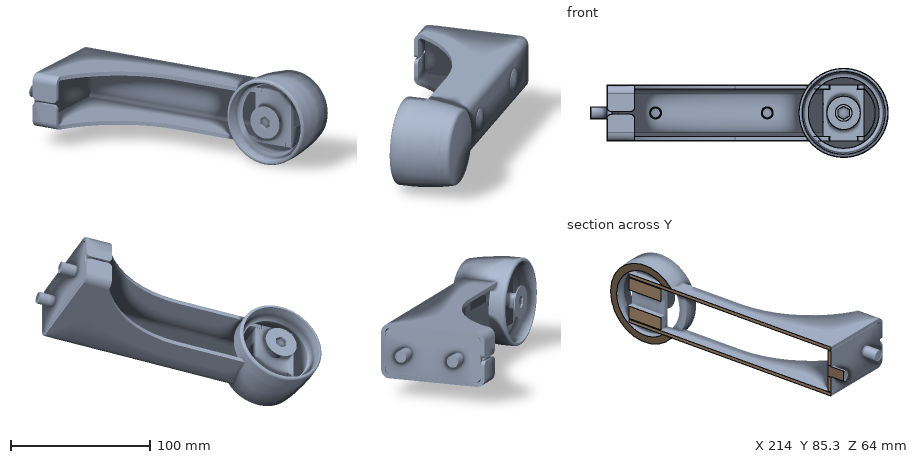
import cadquery as cq
import math


OVERALL_LENGTH = 214.0

ARM_HEIGHT = 40.0
FOOT_DEPTH = 80.0
WALL = 3.0
OUTER_RADIUS = 6.0
INNER_RADIUS = OUTER_RADIUS - WALL
INNER_HALF_HEIGHT = ARM_HEIGHT / 2 - WALL
FOOT_LENGTH = 20.0
ARM_DEPTH = 31.9
ARC_END_X = 92.0
FRONT_SLOT_WIDTH = 2.0
FRONT_SLOT_ROUNDING = 3.2

END_PLATE_THICKNESS = 3.5
END_PLATE_GAP = 0.2
END_PLATE_CORNER_RADIUS = 4.3
END_PLATE_JOINT_HEIGHT = 22.2
END_PLATE_BACK_FILLET = 4.7

STUD_DIAMETER = 8.5
STUD_LENGTH = 12.0
STUD_DEPTHS = (20.0, 60.0)
BUTTON_POSITIONS = (34.9, 115.0)
BUTTON_SHANK_DIAMETER = 8.5
BUTTON_HEAD_DIAMETER = 16.0
BUTTON_HEAD_HEIGHT = 1.7
BUTTON_RIM_HEIGHT = 0.5
TIP_RECESS_DIAMETER = 7.0
TIP_RECESS_DEPTH = 0.5

CUP_DIAMETER = 64.0
CUP_RADIUS = CUP_DIAMETER / 2
CUP_X = OVERALL_LENGTH - STUD_LENGTH - CUP_RADIUS
CUP_FRONT_Y = -40.0
CUP_BARREL_FRONT_Y = -28.2
CUP_BARREL_BACK_Y = 1.0
CUP_BARREL_BACK_RADIUS = 28.0
CUP_BARREL_BULGE_RADIUS = 139.0
CUP_BACK_ROUNDING = 2.8
CUP_DOME_EDGE_RADIUS = 25.7
CUP_DOME_EDGE_Y = 3.6
CUP_DOME_TOP_Y = 5.3
CUP_RIM_RADIUS = 1.7
CUP_BORE_FRONT_RADIUS = 29.7
CUP_BORE_BACK_RADIUS = 28.7
CUP_CAVITY_RADIUS = 25.5
CUP_SHOULDER_Y = -28.2
CUP_FLOOR_EDGE_Y = 2.0
CUP_FLOOR_CENTRE_Y = 3.2

SEAT_Y = -27.8
BLOCK_HALF_LENGTH = 14.8
PANEL_END_RADIUS = 22.7
TAB_HALF_LENGTH = 9.8
TAB_SLIT_WIDTH = 0.6
BLOCK_GAP = 0.2
BLOCK_WALL = 3.9
BLOCK_SLOT_HEIGHT = 12.8

SCREW_SHANK_DIAMETER = 12.0
SCREW_HEAD_DIAMETER = 24.0
SCREW_HEAD_THICKNESS = 0.6
SCREW_HEAD_Y = -40.0
SCREW_SOCKET_SIDES = 6
SCREW_SOCKET_FLATS = 8.1
SCREW_SOCKET_DEPTH = 3.0

WALL_END_X = CUP_X + BLOCK_HALF_LENGTH
PANEL_END_X = CUP_X + PANEL_END_RADIUS
BLOCK_BACK_Y = -WALL
BLOCK_SLOT_BACK_Y = BLOCK_BACK_Y - BLOCK_WALL
BLOCK_SLOT_FRONT_Y = SEAT_Y + BLOCK_WALL


def box(x_range, y_range, z_range):
    """Box between the given pairs of limits."""
    limits = (x_range, y_range, z_range)
    size = [high - low for low, high in limits]
    return cq.Workplane("XY").box(*size, centered=False).translate([low for low, _ in limits])


def cylinder_x(diameter, x_start, x_end, y):
    """Round bar along X on the mid-plane."""
    return cq.Workplane("YZ", origin=(x_start, y, 0)).circle(diameter / 2).extrude(x_end - x_start)


def cylinder_y(diameter, x, y_start, y_end):
    """Round bar along Y on the mid-plane."""
    return cq.Workplane("XZ", origin=(x, y_start, 0)).circle(diameter / 2).extrude(y_start - y_end)


def rounded_bar_x(depth, height, radius, length):
    """Bar along X with rounded edges, centred in the depth of the foot."""
    bar = cq.Workplane("YZ", origin=(0, -FOOT_DEPTH / 2, 0)).rect(depth, height).extrude(length)
    return bar.edges("|X").fillet(radius)


def cap_radius(half_chord, rise):
    """Radius of an arc from its half chord and its rise."""
    return (half_chord**2 + rise**2) / (2 * rise)


def make_channel():
    """Box section trimmed to the side outline of the arm."""
    inner_depth = FOOT_DEPTH - 2 * WALL
    outside = rounded_bar_x(FOOT_DEPTH, ARM_HEIGHT, OUTER_RADIUS, PANEL_END_X)
    inside = rounded_bar_x(inner_depth, 2 * INNER_HALF_HEIGHT, INNER_RADIUS, PANEL_END_X)
    arc_start = (FOOT_LENGTH, OUTER_RADIUS - FOOT_DEPTH)
    arc_end = (ARC_END_X, -ARM_DEPTH)
    arc_radius = cap_radius(arc_end[0] - arc_start[0], arc_end[1] - arc_start[1])
    outline = (
        cq.Workplane("XY", origin=(0, 0, -ARM_HEIGHT / 2))
        .moveTo(0, 0)
        .lineTo(0, -FOOT_DEPTH)
        .lineTo(FOOT_LENGTH, -FOOT_DEPTH)
        .lineTo(*arc_start)
        .radiusArc(arc_end, arc_radius)
        .lineTo(WALL_END_X, -ARM_DEPTH)
        .lineTo(WALL_END_X, -WALL)
        .lineTo(PANEL_END_X, -WALL)
        .lineTo(PANEL_END_X, 0)
        .close()
        .extrude(ARM_HEIGHT)
    )
    channel = outside.cut(inside).intersect(outline)
    panel_zone = box((WALL_END_X, PANEL_END_X), (-WALL, 0), (-ARM_HEIGHT / 2, ARM_HEIGHT / 2))
    panel_round = cylinder_y(2 * PANEL_END_RADIUS, CUP_X, 0, -WALL)
    cup_seat = cylinder_y(2 * CUP_RADIUS, CUP_X, SEAT_Y, -ARM_DEPTH)
    return channel.cut(panel_zone.cut(panel_round)).cut(cup_seat)


def make_front_slot():
    """Slot between the two front lips of the foot, flared by rounded lip ends."""
    half = FRONT_SLOT_WIDTH / 2
    flare = half + FRONT_SLOT_ROUNDING
    profile = (
        cq.Workplane("XZ", origin=(0, -FOOT_DEPTH + WALL, 0))
        .moveTo(0, -flare)
        .radiusArc((FRONT_SLOT_ROUNDING, -half), FRONT_SLOT_ROUNDING)
        .lineTo(FOOT_LENGTH - FRONT_SLOT_ROUNDING, -half)
        .radiusArc((FOOT_LENGTH, -flare), FRONT_SLOT_ROUNDING)
        .lineTo(FOOT_LENGTH, flare)
        .radiusArc((FOOT_LENGTH - FRONT_SLOT_ROUNDING, half), FRONT_SLOT_ROUNDING)
        .lineTo(FRONT_SLOT_ROUNDING, half)
        .radiusArc((0, flare), FRONT_SLOT_ROUNDING)
        .close()
    )
    return profile.extrude(WALL)


def make_end_plate():
    """Plate inside the foot, joined to the back and the lips between its relieved corners."""
    depth = FOOT_DEPTH - 2 * WALL
    plate = rounded_bar_x(
        depth - 2 * END_PLATE_GAP,
        2 * (INNER_HALF_HEIGHT - END_PLATE_GAP),
        END_PLATE_CORNER_RADIUS,
        END_PLATE_THICKNESS,
    )
    joint_half = END_PLATE_JOINT_HEIGHT / 2
    joint = box((0, END_PLATE_THICKNESS), (WALL - FOOT_DEPTH, -WALL), (-joint_half, joint_half))
    bend = (
        cq.Workplane("XY", origin=(END_PLATE_THICKNESS, -WALL, -joint_half))
        .lineTo(END_PLATE_BACK_FILLET, 0)
        .radiusArc((0, -END_PLATE_BACK_FILLET), -END_PLATE_BACK_FILLET)
        .close()
        .extrude(END_PLATE_JOINT_HEIGHT)
    )
    return plate.union(joint).union(bend)


def make_screw_block():
    """Hollow block for the clamp screw, joined to the arm walls by its tabs."""
    x_range = (CUP_X - BLOCK_HALF_LENGTH, WALL_END_X)
    tab_x = (CUP_X - TAB_HALF_LENGTH, CUP_X + TAB_HALF_LENGTH)
    half_height = INNER_HALF_HEIGHT - BLOCK_GAP
    slot_z = (-BLOCK_SLOT_HEIGHT / 2, BLOCK_SLOT_HEIGHT / 2)
    block = box(x_range, (SEAT_Y, BLOCK_BACK_Y), (-half_height, half_height))
    tabs = box(tab_x, (SEAT_Y, BLOCK_SLOT_FRONT_Y), (-INNER_HALF_HEIGHT, INNER_HALF_HEIGHT))
    return block.union(tabs).cut(box(x_range, (BLOCK_SLOT_FRONT_Y, BLOCK_SLOT_BACK_Y), slot_z))


def make_tab_slits():
    """Four slits in the arm walls beside the tabs of the screw block."""
    slits = cq.Workplane("XY")
    y_range = (SEAT_Y, BLOCK_SLOT_FRONT_Y)
    for x_side in (-1, 1):
        edges = (x_side * TAB_HALF_LENGTH, x_side * (TAB_HALF_LENGTH + TAB_SLIT_WIDTH))
        x_range = (CUP_X + min(edges), CUP_X + max(edges))
        slits = slits.union(box(x_range, y_range, (INNER_HALF_HEIGHT, ARM_HEIGHT / 2)))
        slits = slits.union(box(x_range, y_range, (-ARM_HEIGHT / 2, -INNER_HALF_HEIGHT)))
    return slits


def make_bracket():
    """Arm with its end plate and screw block, and holes for the studs, buttons and screw."""
    bracket = make_channel().cut(make_front_slot()).union(make_end_plate())
    bracket = bracket.union(make_screw_block()).cut(make_tab_slits())
    for depth in STUD_DEPTHS:
        bracket = bracket.cut(cylinder_x(STUD_DIAMETER, 0, END_PLATE_THICKNESS, -depth))
    for x in BUTTON_POSITIONS:
        bracket = bracket.cut(cylinder_y(BUTTON_SHANK_DIAMETER, x, 0, -WALL))
    return bracket.cut(cylinder_y(SCREW_SHANK_DIAMETER, CUP_X, BLOCK_SLOT_FRONT_Y, SEAT_Y))


def make_stud(depth):
    """Stud through the end plate, with a shallow recess in its tip."""
    stud = cylinder_x(STUD_DIAMETER, -STUD_LENGTH, END_PLATE_THICKNESS, -depth)
    return stud.cut(cylinder_x(TIP_RECESS_DIAMETER, -STUD_LENGTH, TIP_RECESS_DEPTH - STUD_LENGTH, -depth))


def make_button(x):
    """Domed button on the back of the arm, its shank flush with the inside of the wall."""
    head_radius = BUTTON_HEAD_DIAMETER / 2
    dome_radius = cap_radius(head_radius, BUTTON_HEAD_HEIGHT - BUTTON_RIM_HEIGHT)
    head = (
        cq.Workplane("XY")
        .lineTo(head_radius, 0)
        .lineTo(head_radius, BUTTON_RIM_HEIGHT)
        .radiusArc((0, BUTTON_HEAD_HEIGHT), -dome_radius)
        .close()
        .revolve(360, (0, 0, 0), (0, 1, 0))
        .translate((x, 0, 0))
    )
    shank = cylinder_y(BUTTON_SHANK_DIAMETER, x, 0, -WALL)
    recess = cylinder_y(TIP_RECESS_DIAMETER, x, TIP_RECESS_DEPTH - WALL, -WALL)
    return head.union(shank).cut(recess)


def make_cup(bracket):
    """Barrel-shaped cup, open at the front, with a window where the arm enters."""
    barrel_back = (CUP_BARREL_BACK_RADIUS, CUP_BARREL_BACK_Y)
    fillet = CUP_BORE_BACK_RADIUS - CUP_CAVITY_RADIUS
    dome_radius = cap_radius(CUP_DOME_EDGE_RADIUS, CUP_DOME_TOP_Y - CUP_DOME_EDGE_Y)
    floor_radius = cap_radius(CUP_CAVITY_RADIUS, CUP_FLOOR_CENTRE_Y - CUP_FLOOR_EDGE_Y)
    cup = (
        cq.Workplane("XY")
        .moveTo(0, CUP_DOME_TOP_Y)
        .radiusArc((CUP_DOME_EDGE_RADIUS, CUP_DOME_EDGE_Y), dome_radius)
        .radiusArc(barrel_back, CUP_BACK_ROUNDING)
        .radiusArc((CUP_RADIUS, CUP_BARREL_FRONT_Y), CUP_BARREL_BULGE_RADIUS)
        .lineTo(CUP_RADIUS, CUP_FRONT_Y + CUP_RIM_RADIUS)
        .radiusArc((CUP_RADIUS - CUP_RIM_RADIUS, CUP_FRONT_Y), CUP_RIM_RADIUS)
        .lineTo(CUP_BORE_FRONT_RADIUS, CUP_FRONT_Y)
        .lineTo(CUP_BORE_BACK_RADIUS, CUP_SHOULDER_Y - fillet)
        .radiusArc((CUP_CAVITY_RADIUS, CUP_SHOULDER_Y), -fillet)
        .lineTo(CUP_CAVITY_RADIUS, CUP_FLOOR_EDGE_Y)
        .radiusArc((0, CUP_FLOOR_CENTRE_Y), -floor_radius)
        .close()
        .revolve(360, (0, 0, 0), (0, 1, 0))
        .translate((CUP_X, 0, 0))
    )
    window = rounded_bar_x(FOOT_DEPTH, ARM_HEIGHT, OUTER_RADIUS, CUP_X)
    window = window.intersect(box((0, CUP_X), (SEAT_Y, 0), (-ARM_HEIGHT / 2, ARM_HEIGHT / 2)))
    return cup.cut(window).cut(bracket)


def make_screw():
    """Clamp screw with a flat round head and a hexagon socket."""
    head_back = SCREW_HEAD_Y + SCREW_HEAD_THICKNESS
    head = cylinder_y(SCREW_HEAD_DIAMETER, CUP_X, head_back, SCREW_HEAD_Y)
    shank = cylinder_y(SCREW_SHANK_DIAMETER, CUP_X, BLOCK_SLOT_FRONT_Y, head_back)
    across_corners = SCREW_SOCKET_FLATS / math.cos(math.pi / SCREW_SOCKET_SIDES)
    socket = (
        cq.Workplane("XZ", origin=(CUP_X, SCREW_HEAD_Y, 0))
        .transformed(rotate=(0, 0, 180 / SCREW_SOCKET_SIDES))
        .polygon(SCREW_SOCKET_SIDES, across_corners)
        .extrude(-SCREW_SOCKET_DEPTH)
    )
    return head.union(shank).cut(socket)


bracket = make_bracket()
studs = [make_stud(depth) for depth in STUD_DEPTHS]
buttons = [make_button(x) for x in BUTTON_POSITIONS]
cup = make_cup(bracket)
screw = make_screw()

bodies = [bracket, *studs, *buttons, cup, screw]
result = cq.Compound.makeCompound([body.val() for body in bodies])